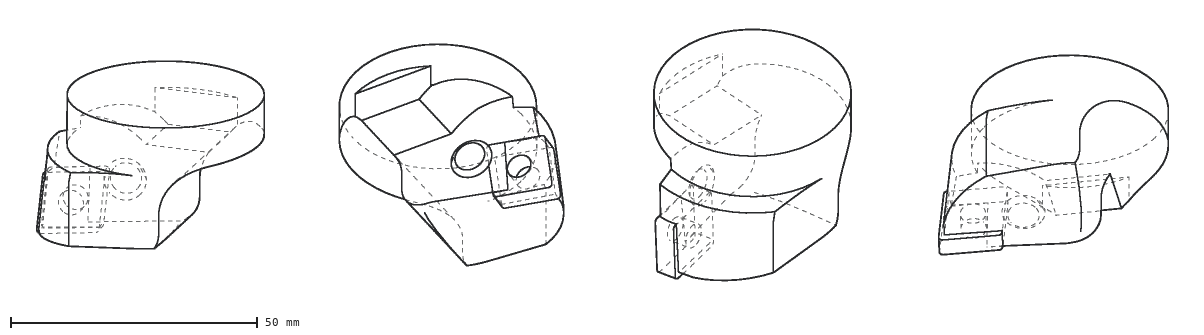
import cadquery as cq
import math

OVERSIZE = 93.75
shank_radius = 40.0 / 2
blank_depth = 37.5

lobe_top_z = -10.7
lobe_rim_z = -11.7
lobe_rim_radius = 23.95
lobe_taper = 0.1
relief_radius = 21.1
relief_center = (-4.55, -0.95)
flat_depth = -12.2
flat_angle = math.radians(8.8)
flat_taper = 0.079

end_slope = math.radians(5.0)
end_z = -28.9
end_tilt = 0.1
neck_x = 5.55
neck_radius = 10.0
heel_radius = 6.0
flange_edge_z = -8.6

gullet_y = 5.0
gullet_floor_z = -13.15
gullet_ceiling = (-19.7, -8.1)
gullet_bend = (-11.7, -9.4)
gullet_end_x = -6.1
step_y = 17.9
step_z = -5.62

rake_x = -19.7
rake_y = 3.4
rake_z = -10.3
rake_x_slope = 0.2
rake_z_slope = 0.11

clamp_x = -10.3
clamp_z = -20.85
clamp_base_radius = 4.35
clamp_tip_radius = 3.2
clamp_height = 1.05

insert_edge = 12.9
insert_angle = math.radians(80.0)
insert_thickness = 4.7
insert_nose_radius = 0.8
insert_hole_diameter = 5.15
insert_x_slope = 0.15
nose_x = -26.95
nose_y = 0.05
nose_z = -32.1


def rake_point(x, z):
    y = rake_y + rake_x_slope * (x - rake_x) + rake_z_slope * (z - rake_z)
    return cq.Vector(x, y, z)


rake_normal = cq.Vector(-rake_x_slope, 1, -rake_z_slope)
insert_normal = cq.Vector(-insert_x_slope, 1, -rake_z_slope)


def half_space(origin, normal):
    """Large block filling the side of a plane that its normal points to."""
    plane = cq.Plane(origin=origin, normal=normal)
    return cq.Workplane(plane).rect(2 * OVERSIZE, 2 * OVERSIZE).extrude(OVERSIZE)


def make_lobe():
    """Tapered lobe on the -X side, with a relieved heel and two flats."""
    base_radius = lobe_rim_radius + lobe_taper * (blank_depth + lobe_rim_z)
    lobe = (
        cq.Workplane("XZ")
        .moveTo(0, lobe_top_z)
        .lineTo(shank_radius, lobe_top_z)
        .lineTo(lobe_rim_radius, lobe_rim_z)
        .lineTo(base_radius, -blank_depth)
        .lineTo(0, -blank_depth)
        .close()
        .revolve(360, (0, 0, 0), (0, 1, 0))
    )
    relief = cq.Workplane("XY").center(*relief_center).circle(relief_radius).extrude(-blank_depth)
    lobe = lobe.intersect(relief)

    radius = lobe_rim_radius + lobe_taper * (lobe_rim_z - flat_depth)
    out_x = -math.cos(flat_angle)
    out_y = -math.sin(flat_angle)
    touch = (radius * out_x, radius * out_y, flat_depth)
    lobe = lobe.cut(half_space(touch, (out_x, out_y, flat_taper)))
    lobe = lobe.cut(half_space((0, -shank_radius, 0), (0, -1, 0)))
    return lobe.cut(half_space((0, 0, 0), (1, 0, 0)))


def make_side_profile():
    """Outline along Y: flange, concave neck, rounded heel and sloping underside."""
    slope = math.tan(end_slope)
    sin_s = math.sin(end_slope)
    cos_s = math.cos(end_slope)

    neck_center_x = neck_x + neck_radius
    flange_z = flange_edge_z + slope * (neck_center_x - shank_radius)
    neck_center_z = flange_z - neck_radius / cos_s
    neck_touch = (neck_center_x - neck_radius * sin_s, neck_center_z + neck_radius * cos_s)
    neck_turn = math.radians(135.0) + end_slope / 2
    neck_mid = (
        neck_center_x + neck_radius * math.cos(neck_turn),
        neck_center_z + neck_radius * math.sin(neck_turn),
    )

    heel_center_x = neck_x - heel_radius
    heel_center_z = end_z + slope * heel_center_x + heel_radius / cos_s
    heel_touch = (heel_center_x + heel_radius * sin_s, heel_center_z - heel_radius * cos_s)
    heel_turn = math.radians(-45.0) + end_slope / 2
    heel_mid = (
        heel_center_x + heel_radius * math.cos(heel_turn),
        heel_center_z + heel_radius * math.sin(heel_turn),
    )

    return (
        cq.Workplane("XZ")
        .moveTo(-blank_depth, 0)
        .lineTo(shank_radius, 0)
        .lineTo(shank_radius, flange_edge_z)
        .lineTo(*neck_touch)
        .threePointArc(neck_mid, (neck_x, neck_center_z))
        .lineTo(neck_x, heel_center_z)
        .threePointArc(heel_mid, heel_touch)
        .lineTo(-blank_depth, end_z - slope * blank_depth)
        .close()
        .extrude(OVERSIZE, both=True)
    )


def make_gullet():
    """Space under the gullet ceiling, open towards -X, +X and below."""
    return (
        cq.Workplane("XZ")
        .moveTo(-OVERSIZE, gullet_ceiling[1])
        .lineTo(*gullet_ceiling)
        .threePointArc(gullet_bend, (gullet_end_x, gullet_floor_z))
        .lineTo(OVERSIZE, gullet_floor_z)
        .lineTo(OVERSIZE, -OVERSIZE)
        .lineTo(-OVERSIZE, -OVERSIZE)
        .close()
        .extrude(OVERSIZE, both=True)
    )


def make_clamp_head():
    """Conical screw head standing on the rake plane."""
    plane = cq.Plane(origin=rake_point(clamp_x, clamp_z), normal=rake_normal)
    return (
        cq.Workplane(plane)
        .circle(clamp_base_radius)
        .workplane(offset=clamp_height)
        .circle(clamp_tip_radius)
        .loft()
    )


def make_insert_blank():
    """Rhombic plate with rounded corners, lying close to the rake plane."""
    rise = math.tan(end_slope)
    edge_direction = cq.Vector(1, insert_x_slope + rake_z_slope * rise, rise)
    plane = cq.Plane(origin=(nose_x, nose_y, nose_z), xDir=edge_direction, normal=-insert_normal)
    lean = insert_edge * math.cos(insert_angle)
    height = insert_edge * math.sin(insert_angle)
    corners = [(0, 0), (insert_edge, 0), (insert_edge + lean, height), (lean, height)]
    blank = cq.Workplane(plane).polyline(corners).close().extrude(insert_thickness)
    blank = blank.edges(cq.selectors.ParallelDirSelector(insert_normal)).fillet(insert_nose_radius)
    center = plane.toWorldCoords(((insert_edge + lean) / 2, height / 2, 0))
    return blank, center


def make_insert():
    blank, center = make_insert_blank()
    plane = cq.Plane(origin=center, normal=-insert_normal)
    hole = cq.Workplane(plane).circle(insert_hole_diameter / 2).extrude(insert_thickness)
    return blank.cut(hole)


def make_holder():
    """Shank and lobe, trimmed underneath, with gullet, insert seat and clamp head."""
    holder = cq.Workplane("XY").circle(shank_radius).extrude(-blank_depth)
    holder = holder.union(make_lobe()).intersect(make_side_profile())
    holder = holder.cut(half_space((0, gullet_y, end_z), (math.tan(end_slope), -end_tilt, -1)))

    gullet = make_gullet()
    holder = holder.cut(gullet.intersect(half_space((0, gullet_y, 0), (0, 1, 0))))
    holder = holder.cut(gullet.intersect(half_space(rake_point(rake_x, rake_z), rake_normal)))

    step = half_space((0, step_y, 0), (0, 1, 0)).intersect(half_space((0, 0, step_z), (0, 0, -1)))
    holder = holder.cut(step)

    seat, _ = make_insert_blank()
    return holder.union(make_clamp_head()).cut(seat)


holder = make_holder()
insert = make_insert()
result = cq.Compound.makeCompound([holder.solids().val(), insert.solids().val()])